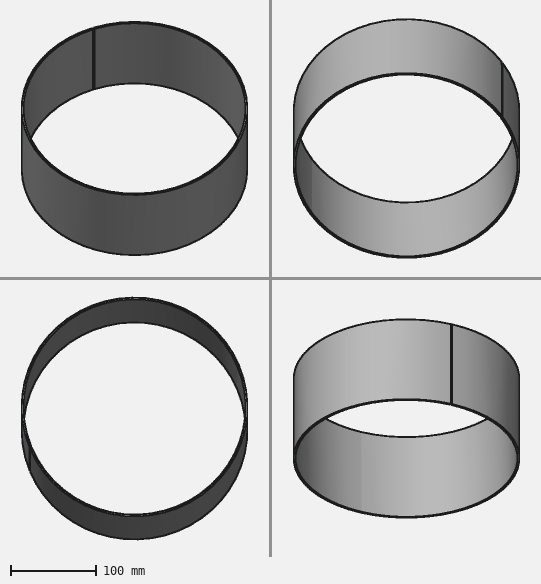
import cadquery as cq

outer_diameter = 265.0
wall = 2.5
height = 110.0
gap = 2.0

outer_radius = outer_diameter / 2
inner_radius = outer_radius - wall

ring = cq.Workplane("XY").circle(outer_radius).circle(inner_radius).extrude(height)

seam_depth = 4 * wall
seam = cq.Workplane("XY").box(seam_depth, gap, height, centered=(True, False, False))
seam = seam.translate((-outer_radius, 0, 0))

result = ring.cut(seam)